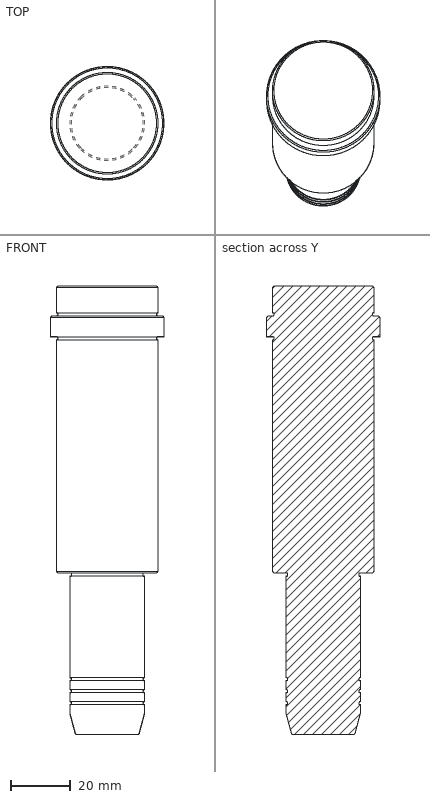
import cadquery as cq
import math

total_length = 150.0
spigot_length = 10.0
flange_thickness = 7.0
shank_top_z = 54.0
nose_length = 7.0

flange_diameter = 38.0
body_diameter = 34.0
shank_diameter = 25.0

nose_taper_angle = 15.0

edge_chamfer = 0.5
nose_tip_radius = 0.5

groove_radius = 0.5
shank_groove_count = 3
shank_groove_pitch = 4.0
lowest_shank_groove_z = 10.5

relief_width = 1.0
relief_depth = 0.5

flange_top_z = total_length - spigot_length
flange_bottom_z = flange_top_z - flange_thickness


def cylinder(diameter, bottom_z, top_z):
    """Solid cylinder on the Z axis between two heights."""
    return cq.Workplane("XY").workplane(offset=bottom_z).circle(diameter / 2).extrude(top_z - bottom_z)


def cut_round_groove(solid, diameter, centre_z):
    """Cut a half-round ring groove centred on the surface of a cylinder."""
    section = cq.Workplane("XZ").center(diameter / 2, centre_z).circle(groove_radius)
    axis_start = (-diameter / 2, 0, 0)
    axis_end = (-diameter / 2, 1, 0)
    return solid.cut(section.revolve(360, axis_start, axis_end))


def make_spigot():
    spigot = cylinder(body_diameter, flange_top_z, total_length)
    spigot = spigot.faces(">Z").edges().chamfer(edge_chamfer)
    return cut_round_groove(spigot, body_diameter, flange_top_z + groove_radius)


def make_flange():
    flange = cylinder(flange_diameter, flange_bottom_z, flange_top_z)
    return flange.faces(">Z").edges().chamfer(edge_chamfer)


def make_body():
    body = cylinder(body_diameter, shank_top_z, flange_bottom_z)
    body = body.faces("<Z").edges().chamfer(edge_chamfer)
    return cut_round_groove(body, body_diameter, flange_bottom_z - groove_radius)


def make_shank():
    relief_bottom_z = shank_top_z - relief_width
    shank = cylinder(shank_diameter, nose_length, relief_bottom_z)
    for index in range(shank_groove_count):
        shank = cut_round_groove(shank, shank_diameter, lowest_shank_groove_z + index * shank_groove_pitch)
    relief = cylinder(shank_diameter - 2 * relief_depth, relief_bottom_z, shank_top_z)
    return shank.union(relief)


def make_nose():
    """Tapered lead-in that narrows to a rounded tip."""
    tip_radius = shank_diameter / 2 - nose_length * math.tan(math.radians(nose_taper_angle))
    tip = cq.Workplane("XY").circle(tip_radius)
    nose = tip.workplane(offset=nose_length).circle(shank_diameter / 2).loft(ruled=True)
    return nose.faces("<Z").edges().fillet(nose_tip_radius)


result = make_nose().union(make_shank()).union(make_body()).union(make_flange()).union(make_spigot())